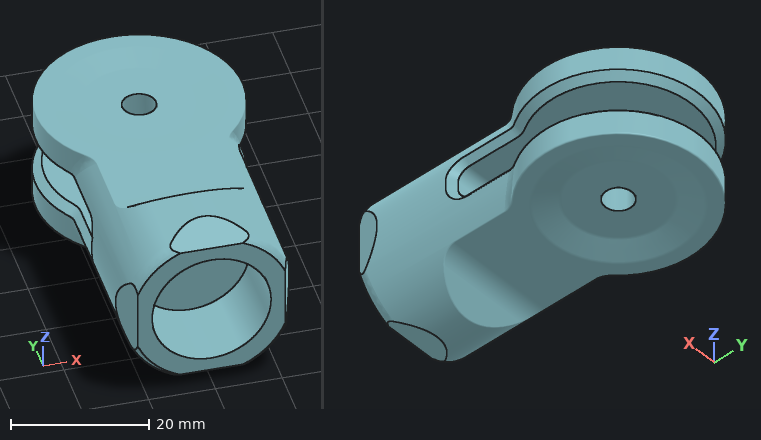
import cadquery as cq
import math

total_length = 56.0
eye_radius = 15.5
eye_y = total_length - eye_radius
barrel_radius = 13.0
fork_half_height = 8.45

flat_end_y = 17.65
runout_radius = 5.0
runout_angle = math.radians(45)
neck_fillet = 2.0
rim_fillet = 0.25

slot_half_height = 2.8
slot_floor_y = 19.7
slot_corner_radius = 2.0
slot_bevel_height = 1.4
slot_bevel_depth = 1.2

seat_rim_radius = 12.7
seat_floor_radius = 8.45
seat_depth = 1.05
seat_fillet = 2.0
pin_hole_radius = 2.5

bore_radius = 8.9
bore_depth = 12.0
end_chamfer = 1.0
end_fillet = 2.0
end_flat_drop = 1.95
end_flat_length = 5.2

edge_margin = 0.05


def edges_within(solid, low_y, high_y, low_z, high_z):
    """Edges lying wholly inside a Y-Z band, apart from those running straight across in X."""
    low = (-total_length, low_y - edge_margin, low_z - edge_margin)
    high = (total_length, high_y + edge_margin, high_z + edge_margin)
    band = cq.selectors.BoxSelector(low, high, boundingbox=True)
    return solid.edges(band).edges("not |X")


def make_barrel():
    """Solid barrel reaching to the eye centre, with a chamfered and rounded open end."""
    profile = (
        cq.Workplane("YZ")
        .lineTo(0, barrel_radius - end_chamfer)
        .lineTo(end_chamfer, barrel_radius)
        .lineTo(eye_y, barrel_radius)
        .lineTo(eye_y, 0)
        .close()
    )
    barrel = profile.revolve(360, (0, 0, 0), (1, 0, 0))
    chamfer_edge = edges_within(barrel, end_chamfer, end_chamfer, -barrel_radius, barrel_radius)
    return chamfer_edge.fillet(end_fillet)


def runout_cutter():
    """Material above the fork: flat, then a concave arc, then a 45 degree ramp past the barrel."""

    def arc_point(angle):
        return (
            flat_end_y - runout_radius * math.sin(angle),
            fork_half_height + runout_radius * (1 - math.cos(angle)),
        )

    ramp_start_y, ramp_start_z = arc_point(runout_angle)
    clear_height = 2 * barrel_radius
    ramp_end_y = ramp_start_y - (clear_height - ramp_start_z) / math.tan(runout_angle)
    return (
        cq.Workplane("YZ")
        .moveTo(total_length, fork_half_height)
        .lineTo(flat_end_y, fork_half_height)
        .threePointArc(arc_point(runout_angle / 2), (ramp_start_y, ramp_start_z))
        .lineTo(ramp_end_y, clear_height)
        .lineTo(total_length, clear_height)
        .close()
        .extrude(eye_radius, both=True)
    )


def slot_cutter():
    """Slot with a rounded floor, running out past the far end of the fork."""
    slot_length = total_length - slot_floor_y + slot_corner_radius
    return (
        cq.Workplane("XY")
        .box(total_length, slot_length, 2 * slot_half_height, centered=(True, False, True))
        .edges("<Y and |X")
        .fillet(slot_corner_radius)
        .translate((0, slot_floor_y, 0))
    )


def make_eye():
    """Round disc that carries the pin hole, still solid between the arms."""
    eye = cq.Workplane("XY").center(0, eye_y).circle(eye_radius)
    return eye.extrude(fork_half_height, both=True)


def seat_cutter():
    """Shallow conical seat in the top of the eye, its floor and rim corners rounded."""
    top = fork_half_height
    floor = top - seat_depth
    slope = math.atan2(seat_depth, seat_rim_radius - seat_floor_radius)
    setback = seat_fillet * math.tan(slope / 2)
    setback_radial = setback * math.cos(slope)
    setback_height = setback * math.sin(slope)
    return (
        cq.Workplane("XZ")
        .moveTo(0, floor)
        .lineTo(seat_floor_radius - setback, floor)
        .tangentArcPoint((seat_floor_radius + setback_radial, floor + setback_height), relative=False)
        .lineTo(seat_rim_radius - setback_radial, top - setback_height)
        .tangentArcPoint((seat_rim_radius + setback, top), relative=False)
        .lineTo(0, top)
        .close()
        .revolve(360, (0, 0, 0), (0, 1, 0))
        .translate((0, eye_y, 0))
    )


def end_flat_cutter():
    """Wedge that slopes the +X side of the open end."""
    return (
        cq.Workplane("XY")
        .moveTo(barrel_radius - end_flat_drop, 0)
        .lineTo(barrel_radius, end_flat_length)
        .lineTo(barrel_radius, 0)
        .close()
        .extrude(barrel_radius, both=True)
    )


body = make_barrel()
body = body.cut(runout_cutter()).cut(runout_cutter().mirror("XY"))
body = body.union(make_eye()).cut(slot_cutter())

neck_start_y = eye_y - math.sqrt(eye_radius**2 - barrel_radius**2 + fork_half_height**2)
neck_end_y = eye_y - math.sqrt(eye_radius**2 - barrel_radius**2 + slot_half_height**2)
for low_z, high_z in ((slot_half_height, fork_half_height), (-fork_half_height, -slot_half_height)):
    corners = edges_within(body, neck_start_y, neck_end_y, low_z, high_z)
    body = corners.fillet(neck_fillet)

slot_mouth = edges_within(body, slot_floor_y, total_length, -slot_half_height, slot_half_height)
body = slot_mouth.chamfer(slot_bevel_depth, slot_bevel_height)
for face_z in (fork_half_height, -fork_half_height):
    rim = edges_within(body, flat_end_y, total_length, face_z, face_z)
    body = rim.fillet(rim_fillet)

body = body.cut(seat_cutter()).cut(seat_cutter().mirror("XY"))
pin_hole = cq.Workplane("XY").center(0, eye_y).circle(pin_hole_radius)
body = body.cut(pin_hole.extrude(fork_half_height, both=True))

body = body.cut(cq.Workplane("XZ").circle(bore_radius).extrude(-bore_depth))
for quarter in range(4):
    body = body.cut(end_flat_cutter().rotate((0, 0, 0), (0, 1, 0), 90 * quarter))

result = body